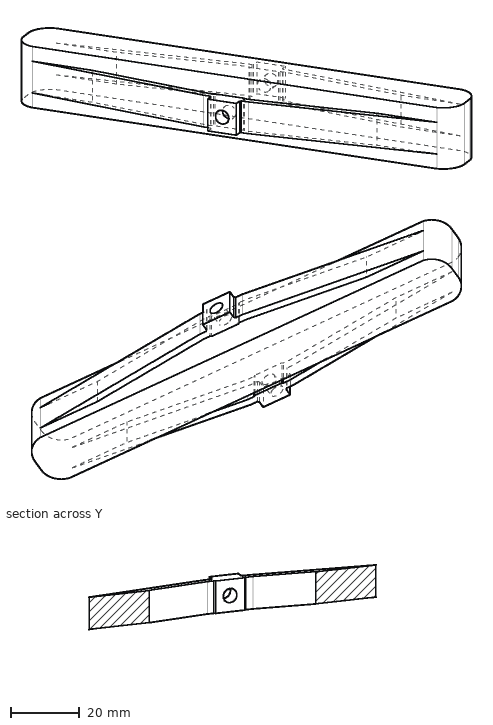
import cadquery as cq

bar_length = 140.7
bar_width = 17.2
bar_height = 19.0
end_flat_width = 3.8
corner_length = 5.8

overall_width = 35.0
strip_height = 9.8
strip_thickness = 2.1
strip_crest = 14.9
flat_half_length = 7.2

block_width = 9.1
block_inner_face = 12.5
block_chamfer = 0.4
hole_diameter = 4.2

half_length = bar_length / 2
half_width = bar_width / 2
strip_end = half_length - corner_length
block_outer_face = overall_width / 2
block_half_width = block_width / 2


def make_bar():
    """Bar with corner arcs tangent to the end faces."""
    half_flat = end_flat_width / 2
    corner_width = half_width - half_flat
    corner_radius = (corner_length**2 + corner_width**2) / (2 * corner_length)
    return (
        cq.Workplane("XY")
        .moveTo(-strip_end, half_width)
        .lineTo(strip_end, half_width)
        .radiusArc((half_length, half_flat), corner_radius)
        .lineTo(half_length, -half_flat)
        .radiusArc((strip_end, -half_width), corner_radius)
        .lineTo(-strip_end, -half_width)
        .radiusArc((-half_length, -half_flat), corner_radius)
        .lineTo(-half_length, half_flat)
        .radiusArc((-strip_end, half_width), corner_radius)
        .close()
        .extrude(bar_height / 2, both=True)
    )


def extrude_symmetric(right_half):
    """Mirror an outline half across X = 0 and extrude it to the strip height."""
    left_half = [(-x, y) for x, y in reversed(right_half)]
    outline = right_half + left_half
    return cq.Workplane("XY").polyline(outline).close().extrude(strip_height / 2, both=True)


def make_strip():
    """Strip on the +Y side; its ends run into the bar."""
    return extrude_symmetric([
        (flat_half_length, strip_crest),
        (strip_end, half_width),
        (strip_end, half_width - strip_thickness),
        (flat_half_length, strip_crest - strip_thickness),
    ])


def make_block():
    """Block on the +Y side, flared around the strip."""
    flared_half_width = block_half_width + block_chamfer
    strip_inner_face = strip_crest - strip_thickness
    return extrude_symmetric([
        (block_half_width, block_outer_face),
        (block_half_width, strip_crest + block_chamfer),
        (flared_half_width, strip_crest),
        (flared_half_width, strip_inner_face),
        (block_half_width, block_inner_face),
    ])


def make_hole():
    """Cutter through the +Y block, stopping at the bar."""
    return (
        cq.Workplane("XZ", origin=(0, block_outer_face, 0))
        .circle(hole_diameter / 2)
        .extrude(block_outer_face - half_width)
    )


side_spring = make_strip().union(make_block()).cut(make_hole())
result = make_bar().union(side_spring).union(side_spring.mirror("XZ"))